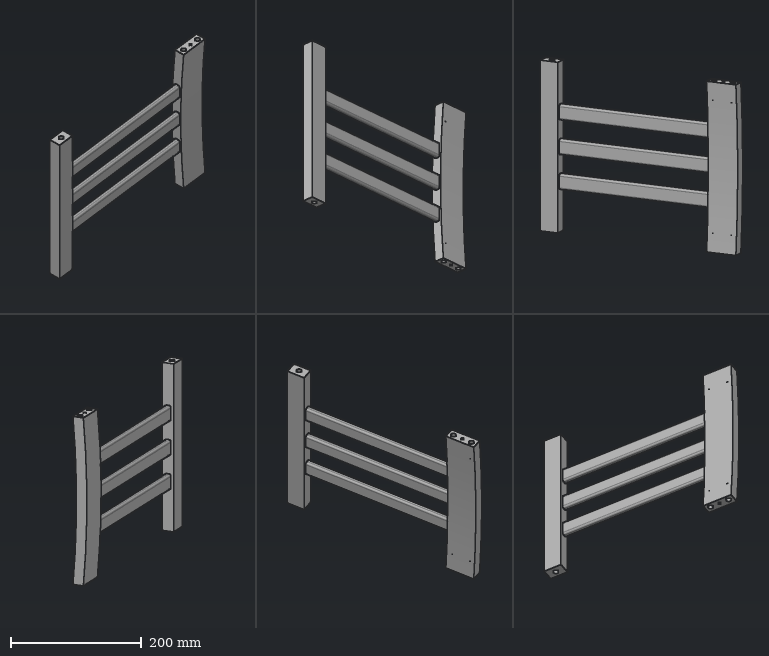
import cadquery as cq

frame_length = 335.0
frame_height = 270.0

front_post_thickness = 20.0
front_post_depth = 30.0

back_post_thickness = 18.0
back_post_depth = 50.2
bow_depth = 6.0
bow_overhang = 0.7

rail_count = 3
rail_pitch = 55.0
rail_height = 25.0
rail_thickness = 10.0
rail_edge_radius = 3.5

dowel_diameter = 8.0
pilot_diameter = 4.5
dowel_spacing = 32.0
hole_depth = 30.0
back_hole_x = 15.5

half_height = frame_height / 2
front_post_center_x = front_post_thickness / 2
front_post_center_y = front_post_depth / 2
back_post_start_y = frame_length - back_post_depth
back_post_center_y = frame_length - back_post_depth / 2


def make_front_post():
    return cq.Workplane("XY").box(
        front_post_thickness, front_post_depth, frame_height, centered=(False, False, True)
    )


def make_back_post():
    end_x = bow_depth - bow_overhang
    return (
        cq.Workplane("XZ", origin=(0, frame_length, 0))
        .moveTo(end_x, -half_height)
        .threePointArc((-bow_overhang, 0), (end_x, half_height))
        .lineTo(end_x + back_post_thickness, half_height)
        .threePointArc(
            (back_post_thickness - bow_overhang, 0), (end_x + back_post_thickness, -half_height)
        )
        .close()
        .extrude(back_post_depth)
    )


def make_rail(center_z):
    rail_length = back_post_start_y - front_post_depth
    return (
        cq.Workplane("XY")
        .box(rail_thickness, rail_length, rail_height, centered=(True, False, True))
        .edges("|Y")
        .fillet(rail_edge_radius)
        .translate((front_post_center_x, front_post_depth, center_z))
    )


def make_end_holes(x, y, diameter):
    top_hole = (
        cq.Workplane("XY", origin=(x, y, half_height - hole_depth))
        .circle(diameter / 2)
        .extrude(hole_depth)
    )
    return top_hole.union(top_hole.mirror("XY"))


result = make_front_post().union(make_back_post())

for index in range(rail_count):
    rail_z = (index - (rail_count - 1) / 2) * rail_pitch
    result = result.union(make_rail(rail_z))

end_holes = [
    (front_post_center_x, front_post_center_y, dowel_diameter),
    (back_hole_x, back_post_center_y - dowel_spacing / 2, dowel_diameter),
    (back_hole_x, back_post_center_y, pilot_diameter),
    (back_hole_x, back_post_center_y + dowel_spacing / 2, dowel_diameter),
]
for x, y, diameter in end_holes:
    result = result.cut(make_end_holes(x, y, diameter))